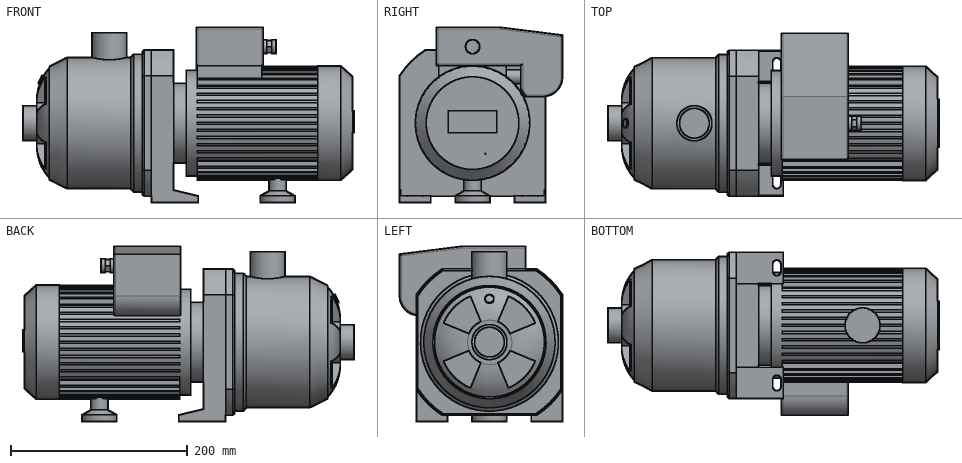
import cadquery as cq
import math


FACE_X = 15.5
DOME_END_X = 29.5
SHELL_START_X = 50.0
SHELL_END_X = 122.0
RIM_START_X = 125.5
PLATE_X = 135.5
BRACKET_X = 145.7
BRACKET_BACK_X = 171.0
FLANGE_X = 185.0
FINS_X = 197.5
COVER_X = 334.2
COVER_TAPER_X = 360.5
COVER_END_X = 374.0
OVERALL_LENGTH = 375.5

INLET_DIAMETER = 39.8
PORT_BORE = 33.8
SHELL_DIAMETER = 149.0
RIM_DIAMETER = 156.5
HUB_RADIUS = 25.0
DOME_RADIUS = 62.5
STEP_RADIUS = 64.2
OUTLET_DIAMETER = 39.8
OUTLET_X = 98.0
OUTLET_TOP_Z = 102.5
OUTLET_BORE_DEPTH = 21.5
POCKET_COUNT = 4
POCKET_ANGLE = 45.0
POCKET_FLOOR_X = 26.3
POCKET_OUTER_RADIUS = 56.5

PLUG_DIAMETER = 10.0
PLUG_RADIUS = 49.0
PLUG_HEIGHT = 1.5
PLUG_DEPTH = 5.5

PLATE_WIDTH = 166.0
PLATE_CORNER_DIAMETER = 197.5
PLATE_CHAMFER = 2.0
GROUND_Z = -90.0
LEG_INNER_Y = 47.5
LEG_END_X = 199.0
LEG_ROOT_Z = -76.0
LEG_TOE_Z = -82.5
LEG_GUSSET_THICKNESS = 1.5
SLOT_X = 191.5
SLOT_WIDTH = 9.0
SLOT_OUTER_Y = 74.0

COUPLING_DIAMETER = 91.0
FLANGE_DIAMETER = 120.0
CORE_DIAMETER = 120.0
FIN_DIAMETER = 129.0
FIN_PITCH = 8.15
FIN_THICKNESS = 2.45
FINS_EACH_SIDE = 5
PEDESTAL_END_X = 271.0
PEDESTAL_HALF_WIDTH = 38.3

COVER_DIAMETER = 130.0
COVER_END_RADIUS = 52.5
BADGE_WIDTH = 55.0
BADGE_HEIGHT = 24.8
BADGE_Z = 1.5

BOX_X = 196.5
BOX_END_X = 272.5
BOX_BOTTOM_Z = 65.5
BOX_TOP_Z = 109.0
BOX_NEAR_Y = -41.3
BOX_FAR_Y = 102.0
BOX_RIDGE_Y = 30.5
BOX_FAR_TOP_Z = 100.0
LOBE_INNER_Y = 55.0
LOBE_BOTTOM_Z = 30.0
LOBE_ROUND = 22.5
LOBE_CLEARANCE_RADIUS = 67.0
BOX_FILLET = 2.0

GLAND_DIAMETER = 16.0
GLAND_Z = 86.7
GLAND_HEX_X = 276.7
GLAND_HEX_END_X = 282.0
GLAND_END_X = 287.3
CONDUIT_DIAMETER = 16.0
CONDUIT_X = 212.0
CONDUIT_Z = 52.5

FOOT_X = 288.8
FOOT_STEM_DIAMETER = 20.0
FOOT_BASE_DIAMETER = 39.8
FOOT_STEM_TOP_Z = -60.0
FOOT_CONE_TOP_Z = -77.0
FOOT_CONE_END_Z = -82.5


def x_cylinder(start_x, end_x, diameter):
    """Cylinder along the shaft axis."""
    return cq.Workplane("YZ", origin=(start_x, 0, 0)).circle(diameter / 2).extrude(end_x - start_x)


def x_box(start_x, end_x, y_range, z_range):
    """Rectangular block given by its limits."""
    return (
        cq.Workplane("XY", origin=(start_x, y_range[0], z_range[0]))
        .box(end_x - start_x, y_range[1] - y_range[0], z_range[1] - z_range[0], centered=False)
    )


def dome_arc_radius():
    """Radius of the dome arc, which leaves the flat front face tangentially."""
    depth = DOME_END_X - FACE_X
    width = DOME_RADIUS - HUB_RADIUS
    return (depth**2 + width**2) / (2 * depth)


def dome_angle(radius):
    """Angle in radians between the dome normal and the shaft axis, at a distance from that axis."""
    return math.asin((radius - HUB_RADIUS) / dome_arc_radius())


def dome_x(radius):
    """Position of the dome surface at a distance from the shaft axis."""
    return FACE_X + dome_arc_radius() * (1 - math.cos(dome_angle(radius)))


def make_vent_plug():
    """Round plug set square to the dome, above the inlet."""
    angle = dome_angle(PLUG_RADIUS)
    outward = cq.Vector(-math.cos(angle), 0, math.sin(angle))
    inner_end = cq.Vector(dome_x(PLUG_RADIUS), 0, PLUG_RADIUS) - outward * PLUG_DEPTH
    seat = cq.Plane(origin=inner_end, xDir=(0, 1, 0), normal=outward)
    return cq.Workplane(seat).circle(PLUG_DIAMETER / 2).extrude(PLUG_DEPTH + PLUG_HEIGHT)


def make_casing_blank():
    """Turned shell with a domed front."""
    middle_radius = (HUB_RADIUS + DOME_RADIUS) / 2
    return (
        cq.Workplane("XZ")
        .moveTo(FACE_X, 0)
        .lineTo(FACE_X, HUB_RADIUS)
        .threePointArc((dome_x(middle_radius), middle_radius), (DOME_END_X, DOME_RADIUS))
        .lineTo(DOME_END_X, STEP_RADIUS)
        .lineTo(SHELL_START_X, SHELL_DIAMETER / 2)
        .lineTo(SHELL_END_X, SHELL_DIAMETER / 2)
        .lineTo(RIM_START_X, RIM_DIAMETER / 2)
        .lineTo(PLATE_X, RIM_DIAMETER / 2)
        .lineTo(PLATE_X, 0)
        .close()
        .revolve(360, (0, 0, 0), (1, 0, 0))
    )


def make_pocket(direction):
    """Sector-shaped pocket in the dome, centred on an angle in degrees about the shaft axis."""

    def at(radius, offset):
        angle = math.radians(direction + offset)
        return radius * math.cos(angle), radius * math.sin(angle)

    half = POCKET_ANGLE / 2
    return (
        cq.Workplane("YZ", origin=(FACE_X, 0, 0))
        .moveTo(*at(HUB_RADIUS, -half))
        .lineTo(*at(POCKET_OUTER_RADIUS, -half))
        .threePointArc(at(POCKET_OUTER_RADIUS, 0), at(POCKET_OUTER_RADIUS, half))
        .lineTo(*at(HUB_RADIUS, half))
        .threePointArc(at(HUB_RADIUS, 0), at(HUB_RADIUS, -half))
        .close()
        .extrude(POCKET_FLOOR_X - FACE_X)
    )


def make_casing(vent_plug):
    """Casing with inlet, outlet, front pockets and the seat of the vent plug."""
    casing = make_casing_blank()
    for index in range(POCKET_COUNT):
        casing = casing.cut(make_pocket((index + 0.5) * 360 / POCKET_COUNT))
    outlet_bore_z = OUTLET_TOP_Z - OUTLET_BORE_DEPTH
    outlet = cq.Workplane("XY", origin=(OUTLET_X, 0, 0)).circle(OUTLET_DIAMETER / 2).extrude(OUTLET_TOP_Z)
    outlet_bore = (
        cq.Workplane("XY", origin=(OUTLET_X, 0, outlet_bore_z))
        .circle(PORT_BORE / 2)
        .extrude(OUTLET_BORE_DEPTH)
    )
    casing = casing.union(x_cylinder(0, FACE_X, INLET_DIAMETER)).union(outlet)
    return casing.cut(x_cylinder(0, FACE_X, PORT_BORE)).cut(outlet_bore).cut(vent_plug)


def make_adapter_plate():
    """Square plate with rounded corners and a chamfered front edge."""
    return (
        cq.Workplane("YZ", origin=(PLATE_X, 0, 0))
        .rect(PLATE_WIDTH, PLATE_WIDTH)
        .extrude(BRACKET_X - PLATE_X)
        .intersect(x_cylinder(PLATE_X, BRACKET_X, PLATE_CORNER_DIAMETER))
        .faces("<X")
        .chamfer(PLATE_CHAMFER)
    )


def make_leg():
    """Leg on the +Y side, with a flat slotted toe and a thin sloping gusset along its outer edge."""
    outer_y = PLATE_WIDTH / 2
    toe = x_box(BRACKET_X, LEG_END_X, (LEG_INNER_Y, outer_y), (GROUND_Z, LEG_TOE_Z))
    gusset = (
        cq.Workplane("XZ", origin=(0, outer_y, 0))
        .moveTo(BRACKET_BACK_X, LEG_TOE_Z)
        .lineTo(LEG_END_X, LEG_TOE_Z)
        .lineTo(BRACKET_BACK_X, LEG_ROOT_Z)
        .close()
        .extrude(LEG_GUSSET_THICKNESS)
    )
    middle_y = (LEG_INNER_Y + outer_y) / 2
    slot = (
        cq.Workplane("XY", origin=(SLOT_X, middle_y, GROUND_Z))
        .slot2D(2 * (SLOT_OUTER_Y - middle_y), SLOT_WIDTH, 90)
        .extrude(LEG_TOE_Z - GROUND_Z)
    )
    return toe.cut(slot).union(gusset)


def make_bracket():
    """Upright plate with rounded upper corners and square lower ones, standing on two legs."""
    half = PLATE_WIDTH / 2
    upright = (
        x_box(BRACKET_X, BRACKET_BACK_X, (-half, half), (-half, half))
        .intersect(x_cylinder(BRACKET_X, BRACKET_BACK_X, PLATE_CORNER_DIAMETER))
    )
    lower_corners = x_box(BRACKET_X, BRACKET_BACK_X, (-half, half), (-half, 0))
    leg = make_leg()
    return upright.union(lower_corners).union(leg).union(leg.mirror("XZ"))


def make_finned_barrel():
    """Round core with upright fins above and below it and level fins on both sides."""
    barrel = x_cylinder(FINS_X, COVER_X, CORE_DIAMETER)
    reach = (-FIN_DIAMETER / 2, FIN_DIAMETER / 2)
    fins = cq.Workplane("XY")
    for index in range(-FINS_EACH_SIDE, FINS_EACH_SIDE + 1):
        middle = index * FIN_PITCH
        faces = (middle - FIN_THICKNESS / 2, middle + FIN_THICKNESS / 2)
        fins = fins.union(x_box(FINS_X, COVER_X, faces, reach))
        fins = fins.union(x_box(FINS_X, COVER_X, reach, faces))
    fins = fins.intersect(x_cylinder(FINS_X, COVER_X, FIN_DIAMETER))
    return barrel.union(fins)


def make_motor(foot, conduit):
    """Motor with coupling neck, flange, finned barrel, box pedestal and seats for foot and conduit."""
    pedestal = x_box(
        FINS_X, PEDESTAL_END_X, (-PEDESTAL_HALF_WIDTH, PEDESTAL_HALF_WIDTH), (0, BOX_BOTTOM_Z)
    )
    return (
        make_finned_barrel()
        .union(pedestal)
        .union(x_cylinder(BRACKET_BACK_X, FLANGE_X, COUPLING_DIAMETER))
        .union(x_cylinder(FLANGE_X, FINS_X, FLANGE_DIAMETER))
        .cut(foot)
        .cut(conduit)
    )


def make_fan_cover():
    """Tapered cover with a raised badge on its end."""
    cover = (
        cq.Workplane("XZ")
        .moveTo(COVER_X, 0)
        .lineTo(COVER_X, COVER_DIAMETER / 2)
        .lineTo(COVER_TAPER_X, COVER_DIAMETER / 2)
        .lineTo(COVER_END_X, COVER_END_RADIUS)
        .lineTo(COVER_END_X, 0)
        .close()
        .revolve(360, (0, 0, 0), (1, 0, 0))
    )
    badge = (
        cq.Workplane("YZ", origin=(COVER_END_X, 0, BADGE_Z))
        .rect(BADGE_WIDTH, BADGE_HEIGHT)
        .extrude(OVERALL_LENGTH - COVER_END_X)
    )
    return cover.union(badge)


def make_terminal_box():
    """Box on the pedestal, with a part-sloping lid and a lobe hanging down beside the motor."""
    clearance_y = math.sqrt(LOBE_CLEARANCE_RADIUS**2 - LOBE_BOTTOM_Z**2)
    clearance_z = math.sqrt(LOBE_CLEARANCE_RADIUS**2 - LOBE_INNER_Y**2)
    clearance_angle = (math.atan2(LOBE_BOTTOM_Z, clearance_y) + math.atan2(clearance_z, LOBE_INNER_Y)) / 2
    clearance_middle = (
        LOBE_CLEARANCE_RADIUS * math.cos(clearance_angle),
        LOBE_CLEARANCE_RADIUS * math.sin(clearance_angle),
    )
    round_inset = LOBE_ROUND * (1 - math.sqrt(0.5))
    return (
        cq.Workplane("YZ", origin=(BOX_X, 0, 0))
        .moveTo(BOX_NEAR_Y, BOX_BOTTOM_Z)
        .lineTo(BOX_NEAR_Y, BOX_TOP_Z)
        .lineTo(BOX_RIDGE_Y, BOX_TOP_Z)
        .lineTo(BOX_FAR_Y, BOX_FAR_TOP_Z)
        .lineTo(BOX_FAR_Y, LOBE_BOTTOM_Z + LOBE_ROUND)
        .threePointArc(
            (BOX_FAR_Y - round_inset, LOBE_BOTTOM_Z + round_inset),
            (BOX_FAR_Y - LOBE_ROUND, LOBE_BOTTOM_Z),
        )
        .lineTo(clearance_y, LOBE_BOTTOM_Z)
        .threePointArc(clearance_middle, (LOBE_INNER_Y, clearance_z))
        .lineTo(LOBE_INNER_Y, BOX_BOTTOM_Z)
        .close()
        .extrude(BOX_END_X - BOX_X)
        .faces("<Y")
        .edges(">Z")
        .fillet(BOX_FILLET)
        .faces("<X or >X")
        .edges()
        .fillet(BOX_FILLET)
    )


def make_cable_gland():
    """Round gland with a hexagonal waist, on the motor side of the box."""
    hexagon = (
        cq.Workplane("YZ", origin=(GLAND_HEX_X, 0, 0))
        .polygon(6, GLAND_DIAMETER)
        .extrude(GLAND_HEX_END_X - GLAND_HEX_X)
    )
    return (
        x_cylinder(BOX_END_X, GLAND_HEX_X, GLAND_DIAMETER)
        .union(hexagon)
        .union(x_cylinder(GLAND_HEX_END_X, GLAND_END_X, GLAND_DIAMETER))
        .translate((0, 0, GLAND_Z))
    )


def make_cable_conduit():
    """Short round conduit joining the lobe of the box to the pedestal."""
    return (
        cq.Workplane("XZ", origin=(CONDUIT_X, LOBE_INNER_Y, CONDUIT_Z))
        .circle(CONDUIT_DIAMETER / 2)
        .extrude(LOBE_INNER_Y - PEDESTAL_HALF_WIDTH)
    )


def make_support_foot():
    """Turned foot standing under the motor, with its stem sunk into the fins."""
    return (
        cq.Workplane("XZ")
        .moveTo(0, GROUND_Z)
        .lineTo(FOOT_BASE_DIAMETER / 2, GROUND_Z)
        .lineTo(FOOT_BASE_DIAMETER / 2, FOOT_CONE_END_Z)
        .lineTo(FOOT_STEM_DIAMETER / 2, FOOT_CONE_TOP_Z)
        .lineTo(FOOT_STEM_DIAMETER / 2, FOOT_STEM_TOP_Z)
        .lineTo(0, FOOT_STEM_TOP_Z)
        .close()
        .revolve(360, (0, 0, 0), (0, 1, 0))
        .translate((FOOT_X, 0, 0))
    )


vent_plug = make_vent_plug()
casing = make_casing(vent_plug)
adapter_plate = make_adapter_plate()
bracket = make_bracket()
support_foot = make_support_foot()
cable_conduit = make_cable_conduit()
motor = make_motor(support_foot, cable_conduit)
fan_cover = make_fan_cover()
terminal_box = make_terminal_box()
cable_gland = make_cable_gland()

result = cq.Compound.makeCompound(
    [
        casing.val(),
        vent_plug.val(),
        adapter_plate.val(),
        bracket.val(),
        motor.val(),
        fan_cover.val(),
        terminal_box.val(),
        cable_gland.val(),
        cable_conduit.val(),
        support_foot.val(),
    ]
)